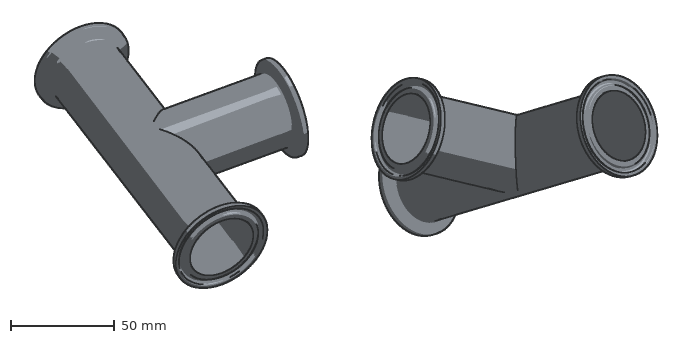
import cadquery as cq
import math

run_length = 146.0
centre_to_face = run_length / 2
tube_diameter = 38.1
bore_diameter = 34.8
tube_radius = tube_diameter / 2

ferrule_length = 12.5
flange_diameter = 50.4
flange_radius = flange_diameter / 2
rim_thickness = 2.8
back_angle = 20.0
rim_round = 0.6
neck_round = 1.2

groove_pitch_radius = 21.8
groove_half_width = 1.5
groove_depth = 1.6
groove_lip_round = 0.6

back_depth = (flange_radius - tube_radius) * math.tan(math.radians(back_angle))
neck_start = rim_thickness + back_depth


def circle_edges(body, radius, height):
    """Circular edges of the given radius centred on Z at the given height."""
    tolerance = 0.0001

    def matches(edge):
        return (
            edge.geomType() == "CIRCLE"
            and abs(edge.radius() - radius) < tolerance
            and abs(edge.Center().z - height) < tolerance
        )

    return body.edges().filter(matches)


def make_ferrule():
    """Solid ferrule on the Z axis, its clamping face on Z = 0 and its neck toward +Z."""
    groove_inner = groove_pitch_radius - groove_half_width
    groove_outer = groove_pitch_radius + groove_half_width
    body = (
        cq.Workplane("XZ")
        .moveTo(0, 0)
        .lineTo(groove_inner, 0)
        .threePointArc((groove_pitch_radius, groove_depth), (groove_outer, 0))
        .lineTo(flange_radius, 0)
        .lineTo(flange_radius, rim_thickness)
        .lineTo(tube_radius, neck_start)
        .lineTo(tube_radius, ferrule_length)
        .lineTo(0, ferrule_length)
        .close()
        .revolve(360, (0, 0, 0), (0, 1, 0))
    )
    body = circle_edges(body, flange_radius, rim_thickness).fillet(rim_round)
    body = circle_edges(body, tube_radius, neck_start).fillet(neck_round)
    for lip_radius in (groove_inner, groove_outer):
        body = circle_edges(body, lip_radius, 0).fillet(groove_lip_round)
    return body


def cylinder_between(start, end, diameter):
    """Cylinder of the given diameter running from one point to another."""
    axis = cq.Vector(end) - cq.Vector(start)
    plane = cq.Plane(origin=start, normal=axis)
    return cq.Workplane(plane).circle(diameter / 2).extrude(axis.Length)


def place_ferrule(ferrule, direction):
    """Move a ferrule to the end of the given direction, with its neck toward the tee centre."""
    face_centre = cq.Vector(direction) * centre_to_face
    plane = cq.Plane(origin=face_centre, normal=cq.Vector(direction) * -1)
    return cq.Workplane(ferrule.val().moved(plane.location))


def make_run_and_branch(diameter, reach):
    """Run along X and branch along +Y, each ending at the given distance from the centre."""
    run = cylinder_between((-reach, 0, 0), (reach, 0, 0), diameter)
    branch = cylinder_between((0, 0, 0), (0, reach, 0), diameter)
    return run.union(branch)


tube_reach = centre_to_face - ferrule_length
tube_bore = make_run_and_branch(bore_diameter, tube_reach)
result = make_run_and_branch(tube_diameter, tube_reach).cut(tube_bore)

ferrule_bore = cylinder_between((0, 0, 0), (0, 0, ferrule_length), bore_diameter)
ferrule = make_ferrule().cut(ferrule_bore)
for direction in ((-1, 0, 0), (1, 0, 0), (0, 1, 0)):
    result = result.union(place_ferrule(ferrule, direction), clean=False)